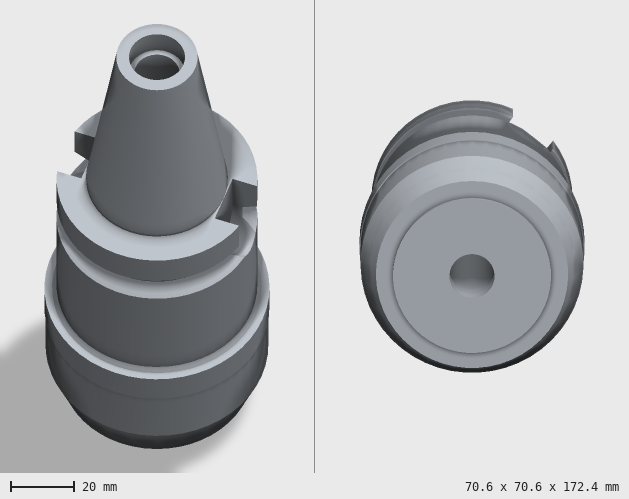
import cadquery as cq

total_height = 172.4
nose_rim_z = 2.0
nose_cone_top_z = 16.0
collar_bottom_z = 36.7
collar_top_z = 47.2
shoulder_top_z = 48.6
body_top_z = 85.7
groove_bottom_z = 88.5
groove_top_z = 92.8
flange_bottom_z = 95.3
flange_top_z = 106.4
taper_base_z = 107.2

nose_rim_radius = 24.8
nose_cone_radius = 30.2
nut_radius = 35.0
collar_radius = 35.3
shoulder_radius = 33.0
body_radius = 31.5
groove_radius = 26.9
taper_base_radius = 22.2
taper_tip_radius = 12.8

bore_radius = 7.0
counterbore_radius = 8.8
counterbore_depth = 8.6

slot_width = 16.2
slot_bottom_z = 84.0
slot_floor_x = 22.33


def revolved(outline):
    """Revolve a closed (radius, height) outline about the Z axis."""
    return cq.Workplane("XZ").polyline(outline).close().revolve(360, (0, 0, 0), (0, 1, 0))


def make_holder():
    """Stepped outer body with its flange groove and taper shank."""
    return revolved([
        (0, 0),
        (nose_rim_radius, 0),
        (nose_rim_radius, nose_rim_z),
        (nose_cone_radius, nose_rim_z),
        (nut_radius, nose_cone_top_z),
        (nut_radius, collar_bottom_z),
        (collar_radius, collar_bottom_z),
        (collar_radius, collar_top_z),
        (shoulder_radius, collar_top_z),
        (body_radius, shoulder_top_z),
        (body_radius, body_top_z),
        (groove_radius, groove_bottom_z),
        (groove_radius, groove_top_z),
        (body_radius, flange_bottom_z),
        (body_radius, flange_top_z),
        (taper_base_radius, flange_top_z),
        (taper_base_radius, taper_base_z),
        (taper_tip_radius, total_height),
        (0, total_height),
    ])


def make_bore():
    counterbore_floor_z = total_height - counterbore_depth
    return revolved([
        (0, 0),
        (bore_radius, 0),
        (bore_radius, counterbore_floor_z),
        (counterbore_radius, counterbore_floor_z),
        (counterbore_radius, total_height),
        (0, total_height),
    ])


def make_drive_slot():
    """Round-bottomed slot cutter on the +X side, open at the flange top."""
    half_width = slot_width / 2
    arc_center_z = slot_bottom_z + half_width
    return (
        cq.Workplane("YZ", origin=(slot_floor_x, 0, 0))
        .moveTo(-half_width, flange_top_z)
        .lineTo(-half_width, arc_center_z)
        .threePointArc((0, slot_bottom_z), (half_width, arc_center_z))
        .lineTo(half_width, flange_top_z)
        .close()
        .extrude(collar_radius - slot_floor_x)
    )


result = make_holder().cut(make_bore())
for angle in (0, 180):
    result = result.cut(make_drive_slot().rotate((0, 0, 0), (0, 0, 1), angle))